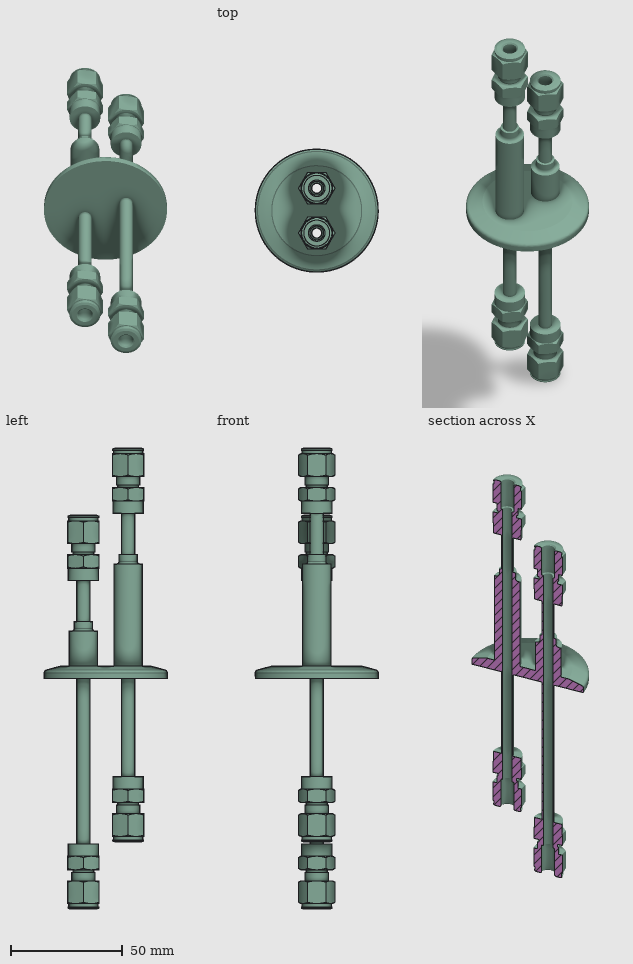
import cadquery as cq
import math

flange_radius = 27.5
flange_flat_radius = 20.1
flange_thickness = 5.6
clamp_angle = 15.0
rim_fillet = 1.4

tube_offset = 10.0
tube_radius = 3.0
bore_radius = 2.2
tube_length = 176.0
long_reach = 103.0
reach_step = 30.0

sleeve_radius = 6.4
sleeve_below_tip = 51.8
collar_radius = 4.1
collar_height = 4.3
weld_fillet = 1.2

hex_flats = 14.15
hex_chamfer_angle = 30.0
tip_ring_radius = 6.9
tip_face_radius = 5.8
tip_bevel_height = 0.45
tip_ring_length = 1.0
tip_groove_radius = 6.6
tip_length = 2.5
nut_length = 10.2
body_neck_radius = 5.3
body_neck_length = 3.8
relief_radius = 4.7
relief_length = 1.1
body_hex_length = 6.1
tail_radius = 6.85
tail_length = 5.5
socket_radius = 3.1
socket_mouth_bevel = 0.6
socket_depth = 15.0


def cylinder(radius, start, length):
    """Cylinder on the Z axis from height start."""
    return cq.Workplane("XY").workplane(offset=start).circle(radius).extrude(length)


def revolved(half_outline):
    """Solid of revolution about Z from an open half outline that starts and ends on the axis."""
    return half_outline.close().revolve(360, (0, 0), (0, 1))


def make_flange():
    """Flange disc whose conical face meets the rim in a fillet."""
    cone_width = flange_radius - flange_flat_radius
    rim_height = flange_thickness - cone_width * math.tan(math.radians(clamp_angle))
    profile = [
        (0, 0),
        (flange_radius, 0),
        (flange_radius, rim_height),
        (flange_flat_radius, flange_thickness),
        (0, flange_thickness),
    ]
    disc = revolved(cq.Workplane("XZ").polyline(profile))
    rim_edge = disc.faces("%CONE").edges("<Z")
    return rim_edge.fillet(rim_fillet)


def chamfered_hexagon(start, length):
    """Hexagon with corners on the X axis and its corners turned off conically at both ends."""
    flat_radius = hex_flats / 2
    corner_radius = flat_radius / math.cos(math.pi / 6)
    drop = (corner_radius - flat_radius) * math.tan(math.radians(hex_chamfer_angle))
    prism = cq.Workplane("XY").workplane(offset=start).polygon(6, 2 * corner_radius).extrude(length)
    turned_profile = [
        (0, start),
        (flat_radius, start),
        (corner_radius, start + drop),
        (corner_radius, start + length - drop),
        (flat_radius, start + length),
        (0, start + length),
    ]
    turned = revolved(cq.Workplane("XZ").polyline(turned_profile))
    return prism.intersect(turned)


def make_tip_ring():
    """Ring at the open tip, bevelled down to its end face at Z = 0."""
    profile = [
        (0, 0),
        (tip_face_radius, 0),
        (tip_ring_radius, tip_bevel_height),
        (tip_ring_radius, tip_ring_length),
        (0, tip_ring_length),
    ]
    return revolved(cq.Workplane("XZ").polyline(profile))


def make_collar(base):
    """Collar on top of the sleeve with a concave weld fillet at its foot."""
    arc_offset = weld_fillet * (1 - math.sqrt(0.5))
    outline = (
        cq.Workplane("XZ")
        .moveTo(0, base)
        .lineTo(collar_radius + weld_fillet, base)
        .threePointArc(
            (collar_radius + arc_offset, base + arc_offset),
            (collar_radius, base + weld_fillet),
        )
        .lineTo(collar_radius, base + collar_height)
        .lineTo(0, base + collar_height)
    )
    return revolved(outline)


def make_fitting():
    """Fitting with its open tip at Z = 0, growing along +Z."""
    nut_end = tip_length + nut_length
    relief_start = nut_end + body_neck_length
    hex_start = relief_start + relief_length
    tail_start = hex_start + body_hex_length
    fitting = make_tip_ring()
    groove_length = tip_length - tip_ring_length
    fitting = fitting.union(cylinder(tip_groove_radius, tip_ring_length, groove_length))
    fitting = fitting.union(chamfered_hexagon(tip_length, nut_length))
    fitting = fitting.union(cylinder(body_neck_radius, nut_end, body_neck_length))
    fitting = fitting.union(cylinder(relief_radius, relief_start, relief_length))
    fitting = fitting.union(chamfered_hexagon(hex_start, body_hex_length))
    return fitting.union(cylinder(tail_radius, tail_start, tail_length))


def at_both_tips(tip_feature, top):
    """Feature modelled inward from Z = 0, placed at the lower and the upper tip of a tube."""
    lower = tip_feature.translate((0, 0, top - tube_length))
    upper = tip_feature.rotate((0, 0, 0), (1, 0, 0), 180).translate((0, 0, top))
    return lower, upper


def make_tube_solid(top):
    """Tube with both fittings, its sleeve and its collar, not yet bored."""
    bottom = top - tube_length
    sleeve_top = top - sleeve_below_tip
    solid = cylinder(tube_radius, bottom + tip_length, tube_length - 2 * tip_length)
    solid = solid.union(cylinder(sleeve_radius, 0, sleeve_top))
    solid = solid.union(make_collar(sleeve_top))
    for fitting in at_both_tips(make_fitting(), top):
        solid = solid.union(fitting)
    return solid


def make_socket():
    """Tube socket entering at Z = 0 along +Z, with a bevelled mouth."""
    profile = [
        (0, 0),
        (socket_radius + socket_mouth_bevel, 0),
        (socket_radius, socket_mouth_bevel),
        (socket_radius, socket_depth),
        (0, socket_depth),
    ]
    return revolved(cq.Workplane("XZ").polyline(profile))


def make_bore(top):
    """Through bore with a wider tube socket at each tip."""
    bore = cylinder(bore_radius, top - tube_length, tube_length)
    for socket in at_both_tips(make_socket(), top):
        bore = bore.union(socket)
    return bore


tubes = [(-tube_offset, long_reach), (tube_offset, long_reach - reach_step)]

result = make_flange()
for y, top in tubes:
    result = result.union(make_tube_solid(top).translate((0, y, 0)))
for y, top in tubes:
    result = result.cut(make_bore(top).translate((0, y, 0)))